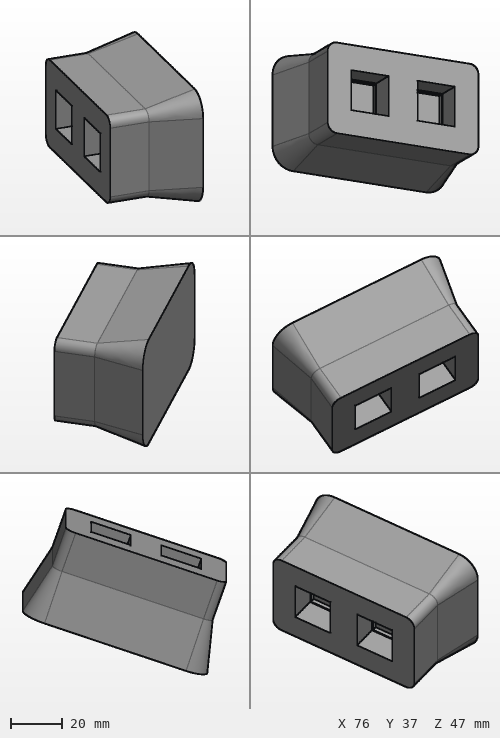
import cadquery as cq

back_width = 76.0
back_height = 47.0
flare_offset = 4.98
neck_width = back_width - 2 * flare_offset
neck_height = back_height - 2 * flare_offset
neck_corner_radius = 3.95
back_corner_radius = neck_corner_radius + flare_offset
total_depth = 37.0
neck_depth = 16.2

socket_side = 16.35
socket_spacing = 28.95
cup_wall = 0.495
cup_rim_depth = 10.3
cup_recess_depth = 1.8
cup_back_depth = neck_depth
cup_opening = socket_side - 2 * cup_wall

front_y = -total_depth / 2
socket_centres = [-socket_spacing / 2, socket_spacing / 2]


def plane_at_depth(depth, centre_x=0.0):
    """Plane parallel to the front face, with its normal pointing into the part."""
    return cq.Plane(origin=(centre_x, front_y + depth, 0), xDir=(1, 0, 0), normal=(0, 1, 0))


def rounded_outline(width, height, radius):
    return cq.Sketch().rect(width, height).vertices().fillet(radius)


def square_block(centre_x, side, start_depth, end_depth):
    start_plane = plane_at_depth(start_depth, centre_x)
    return cq.Workplane(start_plane).rect(side, side).extrude(end_depth - start_depth)


def make_housing():
    neck_outline = rounded_outline(neck_width, neck_height, neck_corner_radius)
    back_outline = rounded_outline(back_width, back_height, back_corner_radius)
    flare_depth = total_depth - neck_depth

    neck = cq.Workplane(plane_at_depth(0)).placeSketch(neck_outline).extrude(neck_depth)
    flare = (
        cq.Workplane(plane_at_depth(neck_depth))
        .placeSketch(neck_outline, back_outline.moved(cq.Location(cq.Vector(0, 0, flare_depth))))
        .loft()
    )
    body = neck.union(flare)
    for centre_x in socket_centres:
        body = body.cut(square_block(centre_x, socket_side, 0, cup_back_depth))
    return body


def make_cup(centre_x):
    block = square_block(centre_x, socket_side, cup_rim_depth, cup_back_depth)
    cup_floor_depth = cup_rim_depth + cup_recess_depth
    recess = square_block(centre_x, cup_opening, cup_rim_depth, cup_floor_depth)
    return block.cut(recess)


housing = make_housing()
cups = [make_cup(centre_x) for centre_x in socket_centres]

result = cq.Compound.makeCompound([housing.val(), *[cup.val() for cup in cups]])